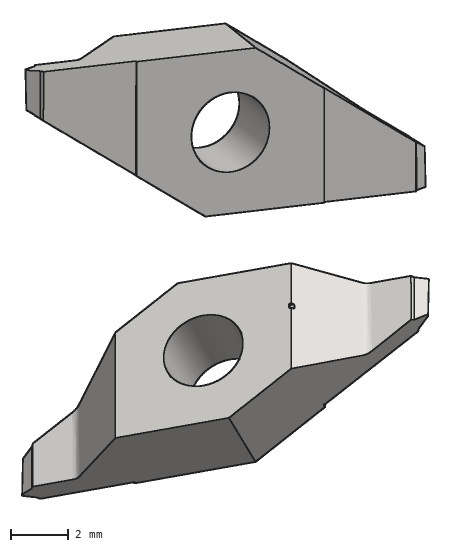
import cadquery as cq
import math

length = 15.0
width = 3.0
height = 6.0

flat_end_y = 0.95
end_height = 1.45

chamfer_start_y = 3.24
recess_start_y = 3.51
neck_center_x = 1.0
neck_half_width = 0.42
neck_fillet = 0.4
shoulder_y = 6.98
tip_root_y = 7.05
tip_radius = 0.08
tip_half_angle = math.radians(30)
relief_angle = math.radians(0.7)
tip_relief_angle = math.radians(1.2)

hole_diameter = 2.92
mark_diameter = 0.2
mark_depth = 0.1
mark_y = -chamfer_start_y
mark_z = 4.23


def end_outline(z):
    """Plan outline of the +Y half at height z, narrowed by the side and tip relief."""
    relief = z * math.tan(relief_angle)
    half_neck = neck_half_width - relief
    neck_left = neck_center_x - half_neck
    neck_right = neck_center_x + half_neck

    turn = math.radians(45)
    corner_y = chamfer_start_y + neck_left + width / 2
    tangent = neck_fillet * math.tan(turn / 2)
    diagonal = tangent * math.cos(turn)
    fillet_start = (neck_left - diagonal, corner_y - diagonal)
    fillet_end = (neck_left, corner_y + tangent)
    fillet_middle = (
        neck_left - neck_fillet * (1 - math.cos(turn / 2)),
        corner_y + tangent - neck_fillet * math.sin(turn / 2),
    )

    tip_y = length / 2 - z * math.tan(tip_relief_angle)
    tangent_half = tip_radius * math.cos(tip_half_angle)
    tangent_y = tip_y - tip_radius * (1 - math.sin(tip_half_angle))
    root_half = tangent_half + (tangent_y - tip_root_y) * math.tan(tip_half_angle)

    return (
        cq.Workplane("XY", origin=(0, 0, z))
        .moveTo(-width / 2, 0)
        .lineTo(-width / 2, chamfer_start_y)
        .lineTo(*fillet_start)
        .threePointArc(fillet_middle, fillet_end)
        .lineTo(neck_left, shoulder_y)
        .lineTo(neck_center_x - root_half, tip_root_y)
        .lineTo(neck_center_x - tangent_half, tangent_y)
        .threePointArc((neck_center_x, tip_y), (neck_center_x + tangent_half, tangent_y))
        .lineTo(neck_center_x + root_half, tip_root_y)
        .lineTo(neck_right, shoulder_y)
        .lineTo(neck_right, recess_start_y)
        .lineTo(width / 2, recess_start_y)
        .lineTo(width / 2, 0)
        .close()
        .val()
    )


def half_block():
    """The +Y half at full height, with its cutting edge at the bottom."""
    return cq.Workplane(cq.Solid.makeLoft([end_outline(0), end_outline(height)], True))


def side_silhouette():
    return (
        cq.Workplane("YZ", origin=(-width / 2, 0, 0))
        .polyline([
            (-length / 2, height),
            (flat_end_y, height),
            (length / 2, end_height),
            (length / 2, 0),
            (-flat_end_y, 0),
            (-length / 2, height - end_height),
        ])
        .close()
        .extrude(width)
    )


def bore(y, z, diameter, depth):
    """Round cutter entering along +X from the -X face."""
    return (
        cq.Workplane("YZ", origin=(-width / 2, y, z))
        .circle(diameter / 2)
        .extrude(depth)
    )


plus_y_half = half_block()
minus_y_half = plus_y_half.rotate((0, 0, height / 2), (1, 0, height / 2), 180)

result = (
    plus_y_half.union(minus_y_half)
    .intersect(side_silhouette())
    .cut(bore(0, height / 2, hole_diameter, width))
    .cut(bore(mark_y, mark_z, mark_diameter, mark_depth))
)